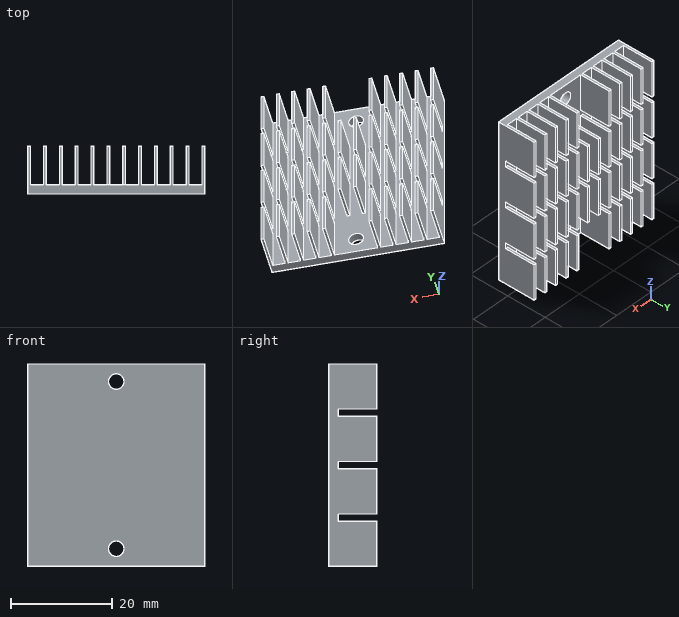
import cadquery as cq


width = 35.0
depth = 9.5
height = 40.0

base_thickness = 1.9
fin_count = 12
fin_thickness = 0.6
fin_length = depth - base_thickness
fin_pitch = (width - fin_thickness) / (fin_count - 1)

segment_count = 4
slot_width = 1.4
slot_count = segment_count - 1
segment_height = (height - slot_count * slot_width) / segment_count
slot_pitch = segment_height + slot_width

hole_diameter = 3.0
hole_spacing = 33.0
hole_heights = (-hole_spacing / 2, hole_spacing / 2)

middle_fins = (fin_count // 2 - 1, fin_count // 2)
middle_fin_height = height - 2 * (segment_height + slot_width)


def make_base():
    """Plate with its front face on Y = 0, centred in X and Z."""
    return cq.Workplane("XY").box(width, base_thickness, height, centered=(True, False, True))


def make_fin(index):
    """One fin, standing on the back face of the base and centred in Z."""
    x = (index - (fin_count - 1) / 2) * fin_pitch
    fin_height = middle_fin_height if index in middle_fins else height
    return (
        cq.Workplane("XY", origin=(x, base_thickness, 0))
        .box(fin_thickness, fin_length, fin_height, centered=(True, False, True))
    )


def make_slot(index):
    """Cutter for one cross slot, as deep as the fins and as wide as the part."""
    z = (index - (slot_count - 1) / 2) * slot_pitch
    return (
        cq.Workplane("XY", origin=(0, base_thickness, z))
        .box(width, fin_length, slot_width, centered=(True, False, True))
    )


def make_mounting_holes():
    """Cutter for both mounting holes through the base."""
    return (
        cq.Workplane("XZ")
        .pushPoints([(0, z) for z in hole_heights])
        .circle(hole_diameter / 2)
        .extrude(-base_thickness)
    )


heat_sink = make_base()
for fin_index in range(fin_count):
    heat_sink = heat_sink.union(make_fin(fin_index))
for slot_index in range(slot_count):
    heat_sink = heat_sink.cut(make_slot(slot_index))

result = heat_sink.cut(make_mounting_holes())